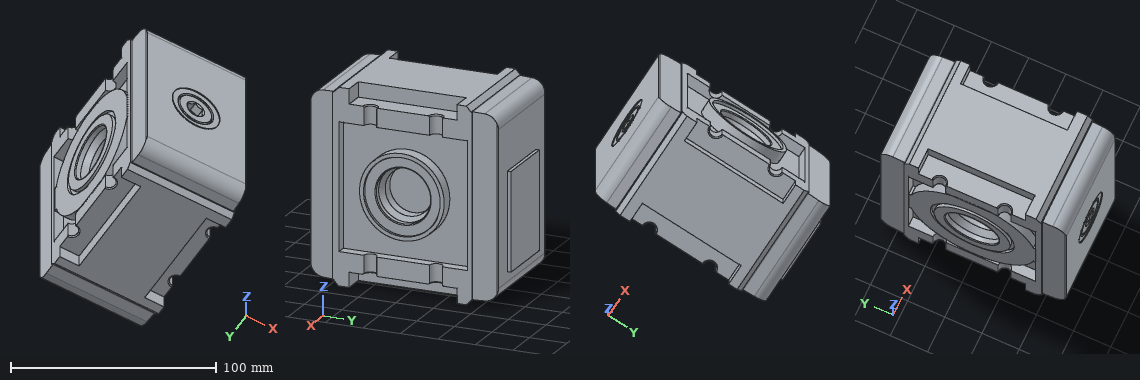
import cadquery as cq
import math

body_width = 59.7
body_height = 103.0
body_front = -37.5
body_back = 36.7
bevel_length = 2.6
bevel_height = 2.8
rim_length = 0.4
half_width = body_width / 2

cap_base = min(-body_front, body_back)
cap_end = 50.1
cap_width = 58.1
cap_height = 97.4
cap_draft_angle = 2.0
cap_edge_radius = 7.3
cap_side_chamfer = 0.5

notch_length = 57.5
notch_depth_x = 11.1
notch_depth_z = 7.9

channel_diameter = 6.8
channel_spacing = 35.0
channel_mouth_diameter = 8.0
channel_mouth_depth = 0.6

recess_length = 68.4
recess_height = 67.2
recess_depth = 5.4
pad_diameter = 68.0
pad_setback = 0.5
bridge_height = 17.9

groove_inner_diameter = 41.0
groove_outer_diameter = 45.1
groove_depth = 1.4
boss_inner_diameter = 40.9
boss_outer_diameter = 45.1
boss_rim_height = 1.5

port_mouth_diameter = 30.0
port_entry_diameter = 28.9
port_bore_diameter = 25.0
port_entry_end = 3.2
port_cone_end = 6.8
port_depth = 12.4
port_chamfer = (port_mouth_diameter - port_entry_diameter) / 2

plug_recess_diameter = 27.0
plug_recess_depth = 0.5
plug_groove_inner_diameter = 18.1
plug_groove_outer_diameter = 20.4
plug_groove_depth = 0.6
socket_mouth_diameter = 10.0
socket_corner_diameter = 9.6
socket_depth = 5.2
socket_turn = 30

plate_width = 34.4
plate_height = 52.1
plate_thickness = 1.9
plate_center_z = -10.0


def spin_about_x(profile):
    """Revolve (radius, x) points about the X axis."""
    points = [(x, radius) for radius, x in profile]
    return cq.Workplane("XY").polyline(points).close().revolve(360, (0, 0, 0), (1, 0, 0))


def spin_about_y(profile):
    """Revolve (radius, y) points about the Y axis."""
    return cq.Workplane("XY").polyline(profile).close().revolve(360, (0, 0, 0), (0, 1, 0))


def x_disc(diameter, x_start, x_end):
    """Disc on the X axis between two X positions."""
    return cq.Workplane("YZ", origin=(x_start, 0, 0)).circle(diameter / 2).extrude(x_end - x_start)


def make_body():
    """Block along Y whose top and bottom edges are bevelled down to the end rims."""
    top = body_height / 2
    rim_top = top - bevel_height
    bevel_inset = rim_length + bevel_length
    upper_outline = [
        (body_front, rim_top),
        (body_front + rim_length, rim_top),
        (body_front + bevel_inset, top),
        (body_back - bevel_inset, top),
        (body_back - rim_length, rim_top),
        (body_back, rim_top),
    ]
    lower_outline = [(y, -z) for y, z in reversed(upper_outline)]
    return (
        cq.Workplane("YZ")
        .polyline(upper_outline + lower_outline)
        .close()
        .extrude(half_width, both=True)
    )


def make_caps():
    """Both caps as one bar: drafted side outline with round corners, drafted plan with bevelled corners."""
    draft = (cap_end - cap_base) * math.tan(math.radians(cap_draft_angle))
    base_z = cap_height / 2
    end_z = base_z - draft
    side = (
        cq.Workplane("YZ")
        .polyline([
            (-cap_end, -end_z),
            (-cap_base, -base_z),
            (cap_base, -base_z),
            (cap_end, -end_z),
            (cap_end, end_z),
            (cap_base, base_z),
            (-cap_base, base_z),
            (-cap_end, end_z),
        ])
        .close()
        .extrude(cap_width / 2, both=True)
    )
    side = side.faces("<Y or >Y").edges("|X").fillet(cap_edge_radius)

    base_x = cap_width / 2
    end_x = base_x - draft
    plan = (
        cq.Workplane("XY")
        .polyline([
            (-end_x, -cap_end),
            (end_x, -cap_end),
            (base_x, -cap_base),
            (base_x, cap_base),
            (end_x, cap_end),
            (-end_x, cap_end),
            (-base_x, cap_base),
            (-base_x, -cap_base),
        ])
        .close()
        .extrude(base_z, both=True)
    )
    plan = plan.faces("<Y or >Y").edges("|Z").chamfer(cap_side_chamfer)
    return side.intersect(plan)


def make_notch(top_sign):
    """Notch in the -X face at the top (+1) or bottom (-1) edge."""
    return cq.Workplane("XY").box(2 * notch_depth_x, notch_length, 2 * notch_depth_z).translate(
        (-half_width, 0, top_sign * body_height / 2)
    )


def make_channels():
    """Four half-round channels on the -X face, flared at the notch floors."""
    notch_floor = body_height / 2 - notch_depth_z
    bore_radius = channel_diameter / 2
    mouth_radius = channel_mouth_diameter / 2
    recess_wall = recess_height / 2
    profile = [
        (0, recess_wall),
        (bore_radius, recess_wall),
        (bore_radius, notch_floor - channel_mouth_depth),
        (mouth_radius, notch_floor),
        (0, notch_floor),
    ]
    upper = cq.Workplane("XZ").polyline(profile).close().revolve(360, (0, 0, 0), (0, 1, 0))
    pair = upper.union(upper.mirror("XY"))
    offset = channel_spacing / 2
    return pair.translate((-half_width, offset, 0)).union(pair.translate((-half_width, -offset, 0)))


def make_recess():
    """Square recess of the -X side face."""
    recess = cq.Workplane("XY").box(2 * recess_depth, recess_length, recess_height)
    return recess.translate((-half_width, 0, 0))


def make_pad():
    """Round pad with side bridges in the -X recess, grooved around a central land."""
    floor = recess_depth - half_width
    pad_face = pad_setback - half_width
    pad = x_disc(pad_diameter, pad_face, floor)
    bridge = cq.Workplane("XY").box(floor - pad_face, recess_length, bridge_height)
    bridge = bridge.translate(((floor + pad_face) / 2, 0, 0))
    groove = x_disc(groove_outer_diameter, pad_face, pad_face + groove_depth)
    land = x_disc(groove_inner_diameter, -half_width, floor)
    return pad.intersect(make_recess()).union(bridge).cut(groove).union(land)


def make_port():
    """Port cavity entering from the -X land."""
    entry_radius = port_entry_diameter / 2
    bore_radius = port_bore_diameter / 2
    cavity = spin_about_x([
        (0, 0),
        (port_mouth_diameter / 2, 0),
        (entry_radius, port_chamfer),
        (entry_radius, port_entry_end),
        (bore_radius, port_cone_end),
        (bore_radius, port_depth),
        (0, port_depth),
    ])
    return cavity.translate((-half_width, 0, 0))


def make_boss():
    """Round boss in the +X recess, with a raised rim beyond the side face."""
    floor = half_width - recess_depth
    rim_face = half_width + boss_rim_height
    rim_hollow = x_disc(boss_inner_diameter, half_width, rim_face)
    return x_disc(boss_outer_diameter, floor, rim_face).cut(rim_hollow)


def make_plug_cut():
    """Shallow round recess, V-shaped ring groove and hexagon socket of the plug."""
    face = plug_recess_depth - cap_end
    recess = cq.Workplane("XZ", origin=(0, face, 0)).circle(plug_recess_diameter / 2).extrude(plug_recess_depth)
    inner = plug_groove_inner_diameter / 2
    outer = plug_groove_outer_diameter / 2
    groove = spin_about_y([(inner, face), ((inner + outer) / 2, face + plug_groove_depth), (outer, face)])
    mouth_radius = socket_mouth_diameter / 2
    countersink = spin_about_y([(0, face), (mouth_radius, face), (0, face + mouth_radius)])
    socket = (
        cq.Workplane("XZ", origin=(0, face + socket_depth, 0))
        .polygon(6, socket_corner_diameter)
        .extrude(socket_depth)
        .rotate((0, 0, 0), (0, 1, 0), socket_turn)
    )
    return recess.union(groove).union(countersink).union(socket)


def make_plate():
    plate = cq.Workplane("XY").box(plate_width, plate_thickness, plate_height)
    return plate.translate((0, cap_end + plate_thickness / 2, plate_center_z))


result = make_body().union(make_caps())

for side_cut in (make_notch(1), make_notch(-1), make_channels(), make_recess()):
    result = result.cut(side_cut).cut(side_cut.mirror("YZ"))

result = result.union(make_pad()).union(make_boss()).union(make_plate())

port = make_port()
result = result.cut(port).cut(port.mirror("YZ")).cut(make_plug_cut())